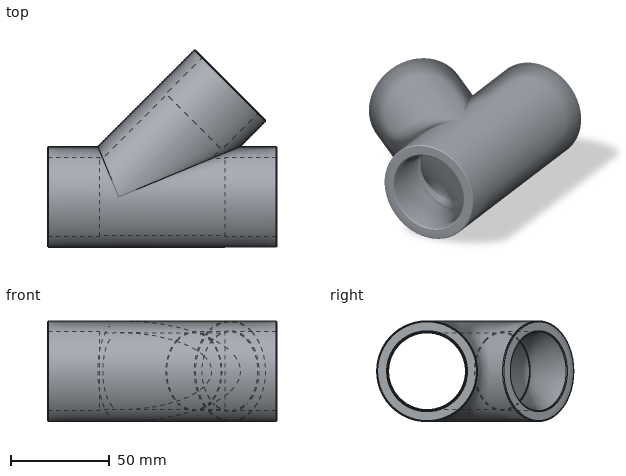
import cadquery as cq

run_length = 116.0
outer_diameter = 51.0
bore_diameter = 39.0
socket_diameter = 40.0
socket_depth = 26.2
edge_chamfer = 0.5
branch_angle = 45.0
junction_from_end = 36.0

branch_length = run_length - junction_from_end
rim_diameter = socket_diameter + 2 * edge_chamfer


def pipe_body(length):
    """Solid cylinder along +X from the origin, its far outer edge chamfered."""
    return (
        cq.Workplane("YZ")
        .circle(outer_diameter / 2)
        .extrude(length)
        .faces(">X")
        .chamfer(edge_chamfer)
    )


def pipe_bore(length):
    """Bore along +X from the origin, stepping up to a socket with a chamfered rim."""
    profile = [
        (0, 0),
        (0, bore_diameter / 2),
        (length - socket_depth, bore_diameter / 2),
        (length - socket_depth, socket_diameter / 2),
        (length - edge_chamfer, socket_diameter / 2),
        (length, rim_diameter / 2),
        (length, 0),
    ]
    return cq.Workplane("XY").polyline(profile).close().revolve(360, (0, 0), (1, 0))


def fitting(make_leg):
    """Join three legs meeting at the origin: two along the run and the branch."""
    inlet = make_leg(junction_from_end).rotate((0, 0, 0), (0, 0, 1), 180)
    outlet = make_leg(branch_length)
    branch = make_leg(branch_length).rotate((0, 0, 0), (0, 0, 1), branch_angle)
    return inlet.union(outlet).union(branch)


result = fitting(pipe_body).cut(fitting(pipe_bore))